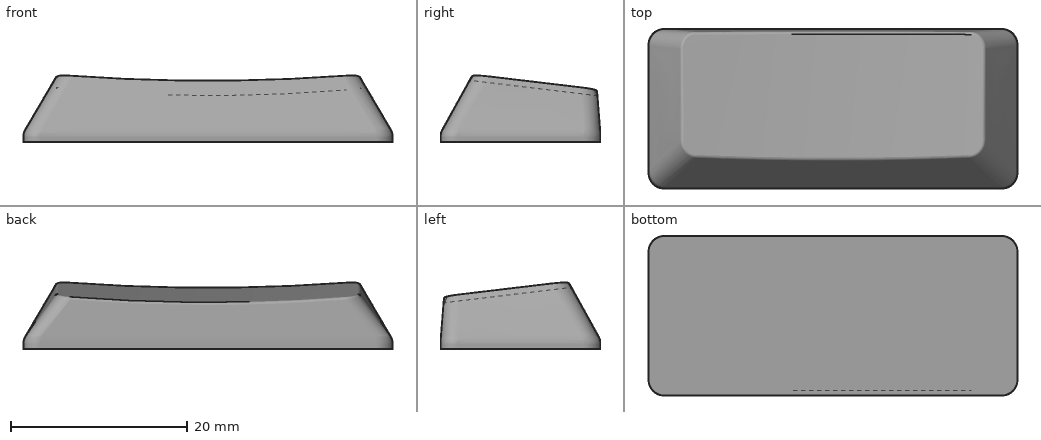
import cadquery as cq
import math

length = 41.95
depth = 18.17
corner_radius = 1.85

band_height = 0.67
knee_top = 1.43

end_turn = 31.0
front_turn = 29.5
back_turn = 4.0

top_fall = 6.8
top_plane_height = 7.2
top_length = 34.25
top_front = -5.35
top_back = 8.7

dish_bottom_height = 6.35
dish_radius = 201.45
rim_radius = 0.35


def rounded_rectangle(size_x, size_y):
    return cq.Sketch().rect(size_x, size_y).vertices().fillet(corner_radius)


def knee_section(height):
    """Rounded rectangle of the knee at a height; each side follows an arc tangent to the band."""

    def inset(turn):
        angle = math.radians(turn)
        arc_radius = (knee_top - band_height) / math.sin(angle)
        return arc_radius - math.sqrt(arc_radius**2 - (height - band_height) ** 2)

    end_inset = inset(end_turn)
    front_inset = inset(front_turn)
    back_inset = inset(back_turn)
    section = rounded_rectangle(length - 2 * end_inset, depth - front_inset - back_inset)
    return section.moved(cq.Location(cq.Vector(0, (front_inset - back_inset) / 2, height)))


def top_section():
    """Rounded rectangle on the tilted top plane."""
    fall = math.radians(top_fall)
    center_y = (top_front + top_back) / 2
    center_height = top_plane_height - center_y * math.tan(fall)
    section = rounded_rectangle(top_length, (top_back - top_front) / math.cos(fall))
    return section.moved(
        cq.Location(cq.Vector(0, center_y, center_height), cq.Vector(1, 0, 0), -top_fall)
    )


def keycap_blank():
    """Vertical band, rounded knee and walls drawn in to the tilted top, stacked."""
    knee_middle = (band_height + knee_top) / 2
    knee_heights = (band_height, knee_middle, knee_top)
    band = cq.Workplane("XY").placeSketch(knee_section(band_height)).extrude(-band_height)
    knee = cq.Workplane("XY").placeSketch(*[knee_section(height) for height in knee_heights]).loft()
    walls = cq.Workplane("XY").placeSketch(knee_section(knee_top), top_section()).loft(ruled=True)
    return band.union(knee).union(walls)


def dish_cutter():
    """Everything above the dished top surface."""
    half_span = length / 2
    cutter_height = top_plane_height
    edge_rise = dish_radius - math.sqrt(dish_radius**2 - half_span**2)
    fall = math.radians(top_fall)
    plane = cq.Plane(
        origin=(0, 0, dish_bottom_height),
        xDir=(1, 0, 0),
        normal=(0, -math.cos(fall), math.sin(fall)),
    )
    return (
        cq.Workplane(plane)
        .moveTo(-half_span, edge_rise)
        .threePointArc((0, 0), (half_span, edge_rise))
        .lineTo(half_span, cutter_height)
        .lineTo(-half_span, cutter_height)
        .close()
        .extrude(depth, both=True)
    )


body = keycap_blank().cut(dish_cutter())
dish_face = cq.selectors.NearestToPointSelector((0, 0, dish_bottom_height))
result = body.faces(dish_face).edges().fillet(rim_radius)